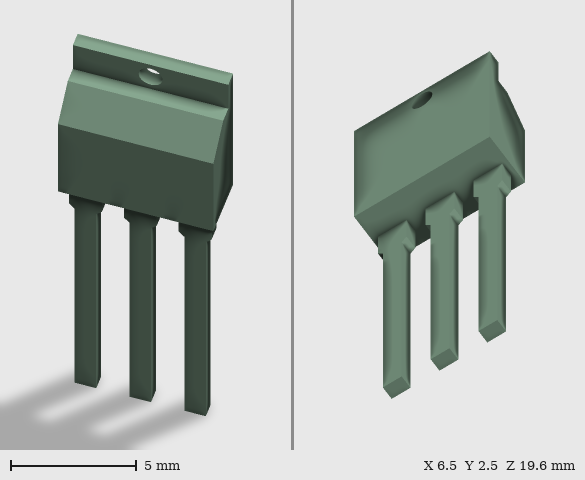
import cadquery as cq

total_height = 19.6
width = 6.5
depth = 2.5

housing_height = 5.5
slope_height = 1.25
slope_depth = 1.25

tab_height = 1.5
tab_thickness = 0.6
hole_diameter = 1.0
hole_drop = 0.75

lead_count = 3
lead_pitch = 2.3
lead_thickness = 0.63
lead_width = 0.9
shoulder_width = 1.37
shoulder_height = 1.59
shoulder_taper_height = 0.24

housing_top = total_height - tab_height
housing_bottom = housing_top - housing_height
lead_front = -1.92


def make_housing():
    """Block whose upper front edge is cut to a slope."""
    profile = [
        (0, housing_bottom),
        (-depth, housing_bottom),
        (-depth, housing_top - slope_height),
        (-depth + slope_depth, housing_top),
        (0, housing_top),
    ]
    return cq.Workplane("YZ").polyline(profile).close().extrude(width / 2, both=True)


def make_tab():
    """Plate standing on the housing, flush with its back, with a through hole."""
    plate = cq.Workplane("XY").box(width, tab_thickness, tab_height, centered=(True, False, False))
    plate = plate.translate((0, -tab_thickness, housing_top))
    hole = (
        cq.Workplane("XZ")
        .center(0, total_height - hole_drop)
        .circle(hole_diameter / 2)
        .extrude(tab_thickness)
    )
    return plate.cut(hole)


def make_lead(x):
    """Flat lead with a wide shoulder that tapers to the narrow leg."""
    shoulder_bottom = housing_bottom - shoulder_height + shoulder_taper_height
    leg_top = housing_bottom - shoulder_height
    right_side = [
        (lead_width / 2, 0),
        (lead_width / 2, leg_top),
        (shoulder_width / 2, shoulder_bottom),
        (shoulder_width / 2, housing_bottom),
    ]
    left_side = [(-across, z) for across, z in reversed(right_side)]
    lead = cq.Workplane("XZ").polyline(right_side + left_side).close().extrude(lead_thickness)
    return lead.translate((x, lead_front + lead_thickness, 0))


housing = make_housing()
tab = make_tab()
leads = []
for index in range(lead_count):
    lead_x = (index - (lead_count - 1) / 2) * lead_pitch
    leads.append(make_lead(lead_x).val())

result = cq.Compound.makeCompound([housing.val(), tab.val(), *leads])